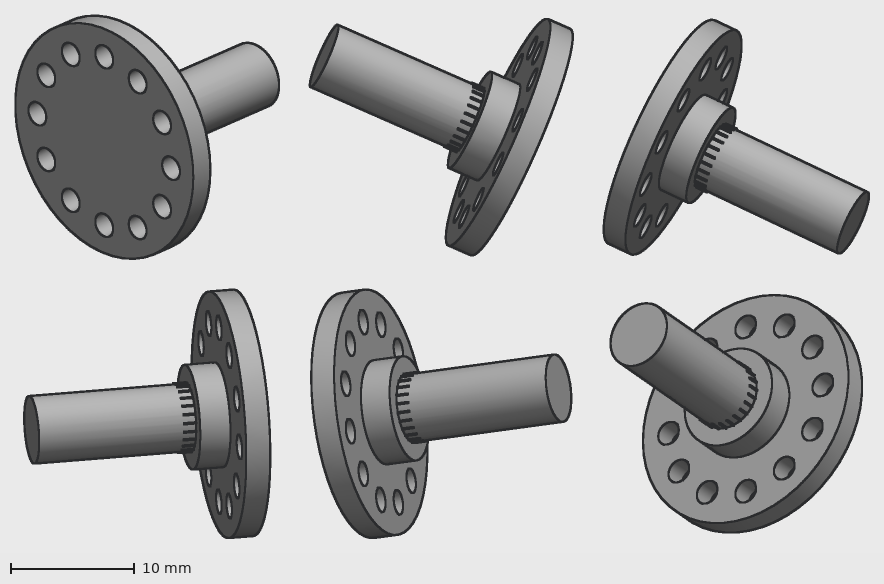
import cadquery as cq
import math


flange_diameter = 20.0
flange_thickness = 2.0
hub_diameter = 8.5
hub_length = 2.5

hole_count = 12
hole_diameter = 2.0
hole_circle_diameter = 15.0

overall_length = 17.5
shaft_diameter = 5.5
tooth_count = 24
tooth_tip_diameter = 5.7
tooth_base_width = 0.115
tooth_length = 1.0
first_tooth_angle = 19.3

hub_end = flange_thickness + hub_length
shaft_length = overall_length - hub_end


def cylinder_along_y(diameter, length, start):
    """Solid cylinder on the Y axis, running toward +Y from start."""
    base = cq.Workplane("XZ", origin=(0, start, 0))
    return base.circle(diameter / 2).extrude(-length)


def make_horn():
    """Drilled flange with its hub in one piece."""
    flange = cylinder_along_y(flange_diameter, flange_thickness, 0)
    holes = (
        cq.Workplane("XZ")
        .polarArray(hole_circle_diameter / 2, 0, 360, hole_count)
        .circle(hole_diameter / 2)
        .extrude(-flange_thickness)
    )
    hub = cylinder_along_y(hub_diameter, hub_length, flange_thickness)
    return flange.cut(holes).union(hub)


def make_tooth(angle):
    """Triangular spline tooth, its crest at an angle from +Z toward -X."""
    half_width = tooth_base_width / 2
    base_height = math.sqrt((shaft_diameter / 2) ** 2 - half_width**2)
    profile = [
        (-half_width, 0),
        (-half_width, base_height),
        (0, tooth_tip_diameter / 2),
        (half_width, base_height),
        (half_width, 0),
    ]
    tooth = (
        cq.Workplane("XZ", origin=(0, hub_end, 0))
        .polyline(profile)
        .close()
        .extrude(-tooth_length)
    )
    return tooth.rotate((0, 0, 0), (0, 1, 0), -angle)


def make_shaft():
    """Shaft butting against the hub, with a short ring of spline teeth at that end."""
    shaft = cylinder_along_y(shaft_diameter, shaft_length, hub_end)
    tooth_pitch = 360 / tooth_count
    for index in range(tooth_count):
        shaft = shaft.union(make_tooth(first_tooth_angle + index * tooth_pitch))
    return shaft


horn = make_horn()
shaft = make_shaft()

result = cq.Compound.makeCompound([horn.val(), shaft.val()])